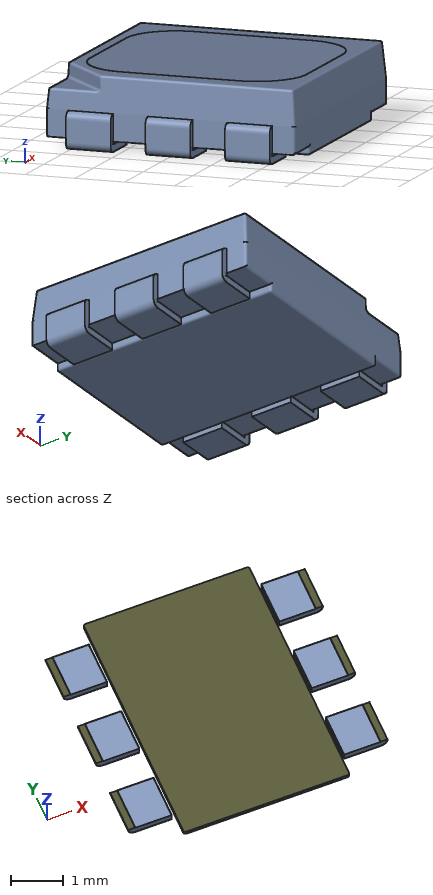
import cadquery as cq

side = 5.005
height = 1.44
parting_z = 0.745
draft_angle = 5
edge_radius = 0.055

step_z = 0.2
boss_z = 0.04
boss_length = 3.39

notch_leg = 1.125
notch_depth = 0.3
notch_overshoot = 0.53

lens_length = 3.965
lens_width = 4.355
lens_corner_radius = 1.0

lead_span = 5.3
lead_thickness = (lead_span - side) / 2
lead_height = 0.735
lead_width = 0.9
lead_pitch = 1.6
foot_length = 0.89
leads_per_side = 3

tolerance = 0.0005


def block(length, width, bottom, top, taper=0):
    """Centred block between two heights, its walls leaning inward by the taper angle."""
    return (
        cq.Workplane("XY", origin=(0, 0, bottom))
        .rect(length, width)
        .extrude(top - bottom, taper=taper)
    )


def notch_cutter():
    """Triangular prism that removes the top corner down to the notch floor."""
    corner_x = -side / 2 - notch_overshoot
    corner_y = side / 2 + notch_overshoot
    reach = notch_leg + 2 * notch_overshoot
    return (
        cq.Workplane("XY", origin=(0, 0, height - notch_depth))
        .moveTo(corner_x, corner_y)
        .lineTo(corner_x + reach, corner_y)
        .lineTo(corner_x, corner_y - reach)
        .close()
        .extrude(notch_depth + notch_overshoot)
    )


def is_rounded(edge):
    """True for every housing edge except those on the parting plane and along the steps."""
    box = edge.BoundingBox()
    on_parting_plane = box.zlen < tolerance and abs(box.zmin - parting_z) < tolerance
    runs_along_step = box.xlen < tolerance and abs(box.zmax - step_z) < tolerance and box.ylen > tolerance
    return not (on_parting_plane or runs_along_step)


def rounded(body):
    """Body with its outer edges filleted."""
    return body.edges().filter(is_rounded).fillet(edge_radius)


def lower_housing():
    """Straight-walled half: a square slab with the boss below it."""
    slab = block(side, side, step_z, parting_z)
    boss = block(boss_length, side, boss_z, parting_z)
    return rounded(slab.union(boss))


def upper_housing():
    """Drafted half with the polarity notch."""
    return rounded(block(side, side, parting_z, height, draft_angle).cut(notch_cutter()))


def lens():
    """Rounded block set into the top of the housing."""
    return block(lens_length, lens_width, parting_z, height).edges("|Z").fillet(lens_corner_radius)


def lead(side_sign, y):
    """Lead: an upright strip on the housing wall with a foot folded under it."""
    outer = side_sign * lead_span / 2
    inner = side_sign * side / 2
    tip = outer - side_sign * foot_length
    return (
        cq.Workplane("XZ", origin=(0, y + lead_width / 2, 0))
        .moveTo(inner, lead_height)
        .radiusArc((outer, lead_height - lead_thickness), side_sign * lead_thickness)
        .lineTo(outer, lead_thickness)
        .radiusArc((inner, 0), side_sign * lead_thickness)
        .lineTo(tip, 0)
        .lineTo(tip, lead_thickness)
        .lineTo(inner, lead_thickness)
        .close()
        .extrude(lead_width)
    )


def leaded_housing():
    """Housing with its recess for the lens and the leads joined to its walls."""
    housing = lower_housing().union(upper_housing())
    for side_sign in (-1, 1):
        for index in range(leads_per_side):
            y = (index - (leads_per_side - 1) / 2) * lead_pitch
            housing = housing.union(lead(side_sign, y))
    return housing.cut(lens())


result = cq.Compound.makeCompound([leaded_housing().val(), lens().val()])